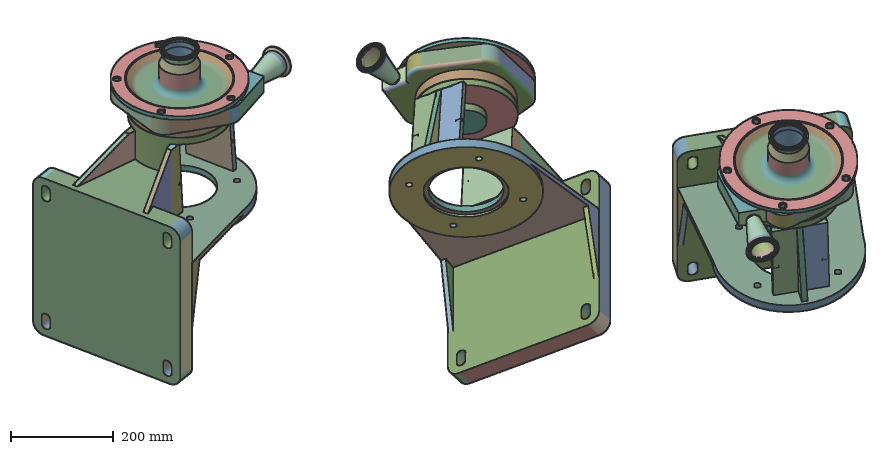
import cadquery as cq
import math


plate_width = 350.0
plate_height = 368.5
plate_front_y = -249.0
plate_thickness = 41.0
plate_back_y = plate_front_y + plate_thickness
plate_corner_radius = 25.5
slot_half_pitch_x = 144.0
slot_edge_distance = 34.5
slot_length = 35.5
slot_width = 20.0

shelf_top = 270.0
pad_radius = 150.0
pad_thickness = 19.5
web_thickness = 11.0
web_half_width = 174.0
motor_bore_radius = 73.5
motor_spigot_radius = 83.0
motor_spigot_depth = 6.0
motor_bolt_count = 4
motor_bolt_start_angle = 45
motor_bolt_circle = 114.0
motor_bolt_radius = 6.5
gusset_thickness = 11.0
gusset_top_y = -175.5
gusset_bottom = 107.0

lantern_top = 435.0
leg_half_width = 56.0
front_leg_inner_y = (-69.0, -81.0)
back_leg_inner_y = (102.5, 88.0)
leg_thickness = 11.0
back_rib_outer_y = 143.0
back_rib_width = 12.0
rib_start_y = -108.0
rib_end_y = -236.0
rib_end_half_width = 89.0
rib_thickness = 10.5
guard_hole_radius = 3.0
guard_hole_depth = 12.0
guard_hole_z = 340.0
guard_hole_ys = (-79.0, 103.0)

lower_ring_radius = 101.0
lower_ring_top = 450.5
upper_ring_radius = 100.0
shaft_boss_radius = 40.0
shaft_boss_bottom = 418.5

casing_bottom = 474.0
casing_top = 515.0
lobe_count = 5
lobe_radius = 34.0
lobe_circle = 101.0
outlet_lobe_circle = 107.0
casing_edge_fillet = 6.5
outlet_x = 96.0
outlet_z = 492.5
outlet_box_left_x = 64.5
outlet_box_right_x = 124.5
outlet_box_y = 109.0

cover_top = 524.0
cover_radius = 135.0
cover_underside = 503.0
cover_step_radius = 107.0
cover_step_depth = 0.9
recess_radius = 104.5
recess_floor_radius = 83.5
recess_floor = 508.5
recess_wall_angle = math.radians(45)
neck_fillet = 13.5
cover_bolt_circle = 122.0
cover_bolt_head_radius = 8.0
cover_bolt_head_depth = 2.5
cover_bolt_radius = 5.5
cover_bolt_depth = 18.0

neck_radius = 40.5
neck_top = 558.5
inlet_pipe_radius = 32.0
inlet_pipe_bottom = 575.5
inlet_ferrule_radius = 38.5
inlet_groove_radius = 32.5
inlet_bore_radius = 30.0
inlet_bore_bottom = 481.0
inlet_top = 593.5

outlet_end_y = 196.0
outlet_ferrule_radius = 32.5
outlet_groove_radius = 27.0
outlet_pipe_radius = 26.0
outlet_cone_end_y = 179.0
outlet_cone_start_y = 113.0
outlet_cone_start_radius = 14.0
outlet_throat_radius = 12.0
outlet_wall = 2.5

ferrule_rim = 3.0
ferrule_thickness = 6.0
groove_width = 2.5
groove_depth = 1.0


def cylinder(radius, bottom, top):
    return cq.Workplane("XY").workplane(offset=bottom).circle(radius).extrude(top - bottom)


def plan_prism(points, bottom, top):
    """Prism with a plan outline given in X, Y."""
    return cq.Workplane("XY").workplane(offset=bottom).polyline(points).close().extrude(top - bottom)


def side_prism(points, half_width):
    """Prism with a side outline given in Y, Z, centred on X = 0."""
    return cq.Workplane("YZ").polyline(points).close().extrude(half_width, both=True)


def mirrored_in_x(points):
    """Close a right-hand outline with its mirror image."""
    return points + [(-x, y) for x, y in reversed(points)]


def tangent_normal(point, centre, radius):
    """Unit normal of the line from a point that touches a circle on its clockwise side."""
    dx = point[0] - centre[0]
    dy = point[1] - centre[1]
    swing = math.acos(radius / math.hypot(dx, dy))
    angle = math.atan2(dy, dx) - swing
    return math.cos(angle), math.sin(angle)


def build_wall_plate():
    centre_y = (plate_front_y + plate_back_y) / 2
    plate = (
        cq.Workplane("XY")
        .box(plate_width, plate_thickness, plate_height)
        .translate((0, centre_y, plate_height / 2))
        .edges("|Y")
        .fillet(plate_corner_radius)
    )
    slot_zs = (slot_edge_distance, plate_height - slot_edge_distance)
    slot_centres = [(x, z) for x in (-slot_half_pitch_x, slot_half_pitch_x) for z in slot_zs]
    slots = (
        cq.Workplane("XZ", origin=(0, plate_back_y, 0))
        .pushPoints(slot_centres)
        .slot2D(slot_length, slot_width, 90)
        .extrude(plate_thickness)
    )
    return plate.cut(slots)


def build_shelf():
    """Round motor pad, tapered web to the wall plate and a gusset under each web edge."""
    corner = (web_half_width, plate_back_y)
    tip = (pad_radius, 0)
    web = plan_prism(mirrored_in_x([corner, tip]), shelf_top - web_thickness, shelf_top)
    pad_bottom = shelf_top - pad_thickness
    pad = cylinder(pad_radius, pad_bottom, shelf_top)

    gusset_profile = [
        (gusset_top_y, shelf_top),
        (gusset_top_y, shelf_top - web_thickness),
        (plate_back_y, gusset_bottom),
        (plate_back_y, shelf_top),
    ]
    strip = [
        corner,
        tip,
        (tip[0] - gusset_thickness, tip[1]),
        (corner[0] - gusset_thickness, corner[1]),
    ]
    gusset = side_prism(gusset_profile, plate_width).intersect(plan_prism(strip, 0, shelf_top))
    gussets = gusset.union(gusset.mirror("YZ"))

    bore = cylinder(motor_bore_radius, pad_bottom, shelf_top)
    spigot = cylinder(motor_spigot_radius, pad_bottom, pad_bottom + motor_spigot_depth)
    bolts = (
        cq.Workplane("XY")
        .workplane(offset=pad_bottom)
        .polarArray(motor_bolt_circle, motor_bolt_start_angle, 360, motor_bolt_count)
        .circle(motor_bolt_radius)
        .extrude(pad_thickness)
    )
    return web.union(pad).union(gussets).cut(bore).cut(spigot).cut(bolts)


def build_front_leg():
    """Solid leg that spreads into two sloping ribs with a flat floor between them."""
    spread = (rib_end_half_width - leg_half_width) / (rib_start_y - rib_end_y)
    outline = [
        (leg_half_width, front_leg_inner_y[0]),
        (leg_half_width, rib_start_y),
        (rib_end_half_width, rib_end_y),
    ]
    profile = [
        (front_leg_inner_y[0], shelf_top),
        (front_leg_inner_y[1], lantern_top),
        (rib_start_y, lantern_top),
        (rib_end_y, plate_height),
        (rib_end_y, shelf_top),
    ]
    leg = plan_prism(mirrored_in_x(outline), shelf_top, lantern_top)
    leg = leg.intersect(side_prism(profile, rib_end_half_width))

    gap_end = rib_end_half_width - rib_thickness
    gap_start = gap_end + spread * rib_end_y
    gap = plan_prism(mirrored_in_x([(gap_start, 0), (gap_end, rib_end_y)]), plate_height, lantern_top)
    return leg.cut(gap.cut(cylinder(lower_ring_radius, plate_height, lantern_top)))


def build_back_leg():
    """Leaning flat leg with one stiffening rib in the middle of its outer side."""
    inner_bottom, inner_top = back_leg_inner_y
    outer_bottom = inner_bottom + leg_thickness
    outer_top = inner_top + leg_thickness
    leg_profile = [
        (inner_bottom, shelf_top),
        (outer_bottom, shelf_top),
        (outer_top, lantern_top),
        (inner_top, lantern_top),
    ]
    rib_profile = [
        (inner_bottom, shelf_top),
        (back_rib_outer_y, shelf_top),
        (outer_top, lantern_top),
        (inner_top, lantern_top),
    ]
    return side_prism(leg_profile, leg_half_width).union(side_prism(rib_profile, back_rib_width / 2))


def build_guard_holes():
    """Small blind holes in both side faces of each leg."""
    hole = (
        cq.Workplane("YZ", origin=(leg_half_width - guard_hole_depth, 0, 0))
        .pushPoints([(y, guard_hole_z) for y in guard_hole_ys])
        .circle(guard_hole_radius)
        .extrude(guard_hole_depth)
    )
    return hole.union(hole.mirror("YZ"))


def build_rings():
    lower_ring = cylinder(lower_ring_radius, lantern_top, lower_ring_top)
    upper_ring = cylinder(upper_ring_radius, lower_ring_top, casing_bottom)
    shaft_boss = cylinder(shaft_boss_radius, shaft_boss_bottom, lantern_top)
    return lower_ring.union(upper_ring).union(shaft_boss)


def build_casing():
    """Five-lobed volute with a flat-ended outlet box on its +X, +Y side."""
    lobe_centres = []
    for index in range(lobe_count):
        angle = 2 * math.pi * index / lobe_count
        reach = outlet_lobe_circle if index < 2 else lobe_circle
        lobe_centres.append((reach * math.cos(angle), reach * math.sin(angle)))
    lobes = (
        cq.Workplane("XY")
        .workplane(offset=casing_bottom)
        .polyline(lobe_centres)
        .close()
        .offset2D(lobe_radius, "arc")
        .extrude(casing_top - casing_bottom)
    )

    outlet_corner = (outlet_box_right_x, outlet_box_y)
    lobe_centre = lobe_centres[0]
    nx, ny = tangent_normal(outlet_corner, lobe_centre, lobe_radius)
    box_outline = [
        outlet_corner,
        (lobe_centre[0] + lobe_radius * nx, lobe_centre[1] + lobe_radius * ny),
        lobe_centre,
        (outlet_box_left_x, 0),
        (outlet_box_left_x, outlet_box_y),
    ]
    casing = lobes.union(plan_prism(box_outline, casing_bottom, casing_top))
    return casing.faces("<Z").edges().fillet(casing_edge_fillet)


def build_cover():
    """Cover disc with a dished recess, turned together with the inlet neck."""
    curl_radius = (recess_radius - recess_floor_radius) / 2 / math.sin(recess_wall_angle)
    wall_foot_radius = recess_floor_radius + curl_radius * math.sin(recess_wall_angle)
    wall_foot_z = recess_floor + curl_radius * (1 - math.cos(recess_wall_angle))
    curl_mid = (
        recess_floor_radius + curl_radius * math.sin(recess_wall_angle / 2),
        recess_floor + curl_radius * (1 - math.cos(recess_wall_angle / 2)),
    )
    fillet_mid_gap = neck_fillet * (1 - math.sqrt(0.5))
    step_z = cover_top - cover_step_depth
    return (
        cq.Workplane("XZ")
        .moveTo(0, cover_underside)
        .lineTo(recess_radius, cover_underside)
        .lineTo(recess_radius, casing_top)
        .lineTo(cover_radius, casing_top)
        .lineTo(cover_radius, cover_top)
        .lineTo(cover_step_radius, cover_top)
        .lineTo(cover_step_radius, step_z)
        .lineTo(recess_radius, step_z)
        .lineTo(wall_foot_radius, wall_foot_z)
        .threePointArc(curl_mid, (recess_floor_radius, recess_floor))
        .lineTo(neck_radius + neck_fillet, recess_floor)
        .threePointArc(
            (neck_radius + fillet_mid_gap, recess_floor + fillet_mid_gap),
            (neck_radius, recess_floor + neck_fillet),
        )
        .lineTo(neck_radius, neck_top)
        .lineTo(inlet_pipe_radius, inlet_pipe_bottom)
        .lineTo(inlet_pipe_radius, inlet_top - ferrule_thickness)
        .lineTo(inlet_ferrule_radius, inlet_top - ferrule_rim)
        .lineTo(inlet_ferrule_radius, inlet_top)
        .lineTo(0, inlet_top)
        .close()
        .revolve(360, (0, 0, 0), (0, 1, 0))
    )


def build_recess_space():
    """Space the dished part of the cover takes up in the top of the casing."""
    return cylinder(recess_radius, cover_underside, cover_top)


def build_cover_bolt_holes():
    def ring_of_holes(radius, depth):
        return (
            cq.Workplane("XY")
            .workplane(offset=cover_top - depth)
            .polarArray(cover_bolt_circle, 0, 360, lobe_count)
            .circle(radius)
            .extrude(depth)
        )

    heads = ring_of_holes(cover_bolt_head_radius, cover_bolt_head_depth)
    return heads.union(ring_of_holes(cover_bolt_radius, cover_bolt_depth))


def turned_on_outlet_axis(points):
    """Turn an outline of (radius, Y) points about the outlet axis."""
    return (
        cq.Workplane("XY", origin=(outlet_x, 0, outlet_z))
        .polyline(points)
        .close()
        .revolve(360, (0, 0, 0), (0, 1, 0))
    )


def build_inlet_groove():
    """Gasket groove in the end face of the inlet ferrule."""
    outer = cylinder(inlet_groove_radius + groove_width, inlet_top - groove_depth, inlet_top)
    return outer.cut(cylinder(inlet_groove_radius, inlet_top - groove_depth, inlet_top))


def build_outlet_groove():
    """Gasket groove in the end face of the outlet ferrule."""
    return turned_on_outlet_axis([
        (outlet_groove_radius, outlet_end_y - groove_depth),
        (outlet_groove_radius + groove_width, outlet_end_y - groove_depth),
        (outlet_groove_radius + groove_width, outlet_end_y),
        (outlet_groove_radius, outlet_end_y),
    ])


def build_outlet_nozzle():
    return turned_on_outlet_axis([
        (0, outlet_box_y),
        (outlet_throat_radius, outlet_box_y),
        (outlet_throat_radius, outlet_cone_start_y),
        (outlet_cone_start_radius, outlet_cone_start_y),
        (outlet_pipe_radius, outlet_cone_end_y),
        (outlet_pipe_radius, outlet_end_y - ferrule_thickness),
        (outlet_ferrule_radius, outlet_end_y - ferrule_rim),
        (outlet_ferrule_radius, outlet_end_y),
        (0, outlet_end_y),
    ])


def build_outlet_bore():
    mouth_radius = outlet_pipe_radius - outlet_wall
    throat_bore_radius = outlet_throat_radius - outlet_wall
    return turned_on_outlet_axis([
        (0, outlet_box_y),
        (throat_bore_radius, outlet_box_y),
        (throat_bore_radius, outlet_cone_start_y),
        (mouth_radius, outlet_cone_end_y),
        (mouth_radius, outlet_end_y),
        (0, outlet_end_y),
    ])


bracket = build_wall_plate().union(build_shelf()).union(build_front_leg()).union(build_back_leg())
bracket = bracket.cut(build_guard_holes())

pump = build_casing().cut(build_recess_space()).union(build_cover()).union(build_rings())
pump = pump.cut(build_cover_bolt_holes()).cut(cylinder(inlet_bore_radius, inlet_bore_bottom, inlet_top))
pump = pump.union(build_outlet_nozzle()).cut(build_outlet_bore())
pump = pump.cut(build_inlet_groove()).cut(build_outlet_groove())

result = bracket.union(pump)